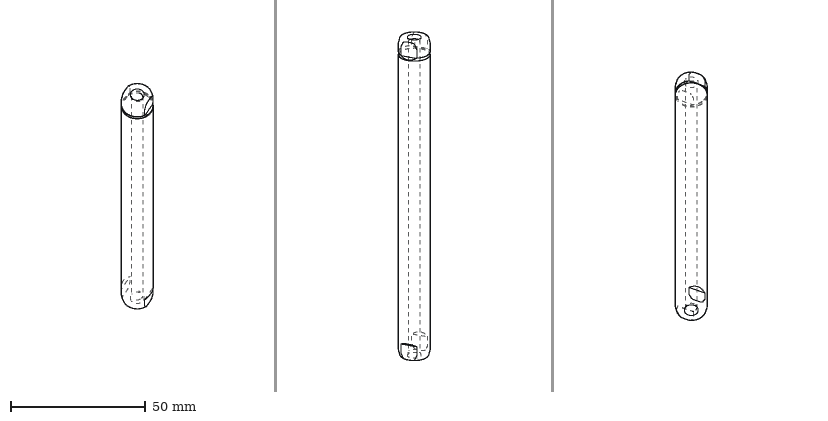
import cadquery as cq
import math

length = 130.0
body_radius = 6.0

lead_in_length = 2.5
lead_in_radius = 5.6
edge_round = 0.9

groove_start_depth = 6.0
groove_width = 1.2
groove_depth = 0.1
groove_radius = body_radius - groove_depth

across_flats = 10.0
flat_length = 6.1
flat_depth = body_radius - across_flats / 2

bore_radius = 2.1
mouth_radius = 2.6
mouth_depth = 1.5


def make_rod():
    """Revolve the half outline of the rod, including its tapered bore."""
    face_radius = lead_in_radius - edge_round
    groove_top = length - groove_start_depth
    groove_bottom = groove_top - groove_width
    arc_drop = edge_round * (1 - math.sqrt(0.5))
    arc_radius = lead_in_radius - arc_drop
    outline = (
        cq.Workplane("XZ")
        .moveTo(mouth_radius, 0)
        .lineTo(face_radius, 0)
        .threePointArc((arc_radius, arc_drop), (lead_in_radius, edge_round))
        .lineTo(body_radius, lead_in_length)
        .lineTo(body_radius, groove_bottom)
        .lineTo(groove_radius, groove_bottom)
        .lineTo(groove_radius, groove_top)
        .lineTo(body_radius, groove_top)
        .lineTo(body_radius, length - lead_in_length)
        .lineTo(lead_in_radius, length - edge_round)
        .threePointArc((arc_radius, length - arc_drop), (face_radius, length))
        .lineTo(mouth_radius, length)
        .lineTo(bore_radius, length - mouth_depth)
        .lineTo(bore_radius, mouth_depth)
        .close()
    )
    return outline.revolve(360, (0, 0), (0, 1))


def make_flat_cutter():
    """Cutter for the bottom flat on +X, with a 45 degree run-out."""
    flat_x = across_flats / 2
    runout = [
        (flat_x, 0),
        (body_radius, 0),
        (body_radius, flat_length + flat_depth),
        (flat_x, flat_length),
    ]
    return cq.Workplane("XZ").polyline(runout).close().extrude(body_radius, both=True)


bottom_right = make_flat_cutter()
bottom_flats = bottom_right.union(bottom_right.mirror("YZ"))
top_flats = bottom_flats.mirror("XY").translate((0, 0, length))

result = make_rod().cut(bottom_flats).cut(top_flats)